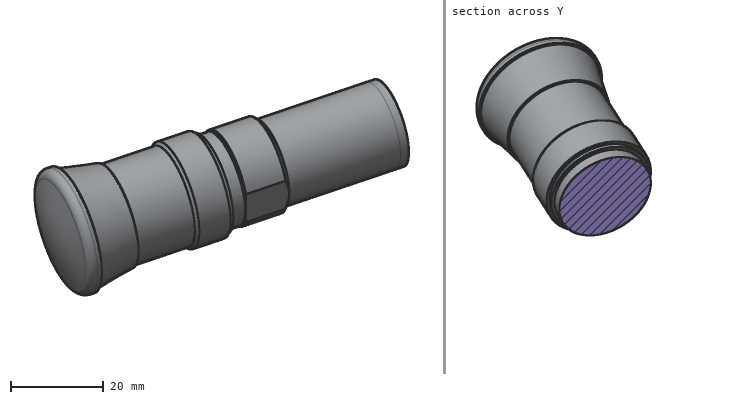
import cadquery as cq
import math

REAR_BAND_END = 2.0
KEY_END = 10.0
TUBE_END = 28.8
COLLAR_CHAMFER = 1.0
COLLAR_END = 39.3
GROOVE_END = 39.8
NECK_END = 43.0
STEP_END = 44.0
RING_END = 52.25
RING_CHAMFER = 0.75
GRIP_END = 66.0
FLARE_END = 76.0
RIM_END = 77.0
TOTAL_LENGTH = 81.0

TUBE_RADIUS = 10.0
COLLAR_RADIUS = 11.1
NECK_RADIUS = 10.85
GRIP_RADIUS = 11.6
RING_RADIUS = 12.3
FLARE_START_RADIUS = 12.05
FLARE_END_RADIUS = 14.0
RIM_RADIUS = 14.5
RIM_ROUNDING = 2.0
FLARE_HOLLOW = 0.1

FLAT_HALF_WIDTH = 10.25
KEY_WIDTH = 2.2
KEY_DEPTH = 2.0

REAR_Y = TOTAL_LENGTH / 2


def station(radius, distance):
    """Profile point at a radius and a distance forward of the rear face."""
    return (radius, REAR_Y - distance)


def revolved_body():
    """Turned body: tube, collar, ring, grip and the flared, domed button."""
    dome_edge_radius = RIM_RADIUS - RIM_ROUNDING
    dome_edge = RIM_END + RIM_ROUNDING
    dome_height = TOTAL_LENGTH - dome_edge
    dome_radius = (dome_edge_radius**2 + dome_height**2) / (2 * dome_height)
    half_edge_radius = dome_edge_radius / 2
    dome_middle = TOTAL_LENGTH - dome_radius + math.sqrt(dome_radius**2 - half_edge_radius**2)
    diagonal = RIM_ROUNDING * math.sqrt(0.5)
    flare_middle_radius = (FLARE_START_RADIUS + FLARE_END_RADIUS) / 2 - FLARE_HOLLOW
    flare_middle = (GRIP_END + FLARE_END) / 2

    profile = (
        cq.Workplane("XY")
        .moveTo(*station(0, 0))
        .lineTo(*station(TUBE_RADIUS, 0))
        .lineTo(*station(TUBE_RADIUS, TUBE_END))
        .lineTo(*station(COLLAR_RADIUS - COLLAR_CHAMFER, TUBE_END))
        .lineTo(*station(COLLAR_RADIUS, TUBE_END + COLLAR_CHAMFER))
        .lineTo(*station(COLLAR_RADIUS, COLLAR_END))
        .lineTo(*station(TUBE_RADIUS, COLLAR_END))
        .lineTo(*station(TUBE_RADIUS, GROOVE_END))
        .lineTo(*station(NECK_RADIUS, GROOVE_END))
        .lineTo(*station(NECK_RADIUS, NECK_END))
        .lineTo(*station(GRIP_RADIUS, NECK_END))
        .lineTo(*station(GRIP_RADIUS, STEP_END))
        .lineTo(*station(RING_RADIUS, STEP_END))
        .lineTo(*station(RING_RADIUS, RING_END - RING_CHAMFER))
        .lineTo(*station(GRIP_RADIUS, RING_END))
        .lineTo(*station(GRIP_RADIUS, GRIP_END))
        .lineTo(*station(FLARE_START_RADIUS, GRIP_END))
        .threePointArc(
            station(flare_middle_radius, flare_middle),
            station(FLARE_END_RADIUS, FLARE_END),
        )
        .lineTo(*station(RIM_RADIUS, FLARE_END))
        .lineTo(*station(RIM_RADIUS, RIM_END))
        .threePointArc(
            station(dome_edge_radius + diagonal, RIM_END + diagonal),
            station(dome_edge_radius, dome_edge),
        )
        .threePointArc(
            station(half_edge_radius, dome_middle),
            station(0, TOTAL_LENGTH),
        )
        .close()
    )
    return profile.revolve(360, (0, 0, 0), (0, 1, 0))


def collar_flat(side):
    """Stock outside one wrench flat of the collar; side is -1 or +1 along X."""
    thickness = COLLAR_RADIUS - FLAT_HALF_WIDTH
    return cq.Workplane("XY").box(
        thickness, COLLAR_END - TUBE_END, 2 * COLLAR_RADIUS
    ).translate((
        side * (FLAT_HALF_WIDTH + thickness / 2),
        REAR_Y - (TUBE_END + COLLAR_END) / 2,
        0,
    ))


def rear_plug():
    """Rear band with a key running forward from it on the -X side, flush with the tube."""
    rear_face = cq.Workplane("XZ", origin=(0, REAR_Y, 0))
    band = rear_face.circle(TUBE_RADIUS).extrude(REAR_BAND_END)
    key_blank = cq.Workplane("XY").box(KEY_DEPTH, KEY_END, KEY_WIDTH).translate(
        (-TUBE_RADIUS + KEY_DEPTH / 2, REAR_Y - KEY_END / 2, 0)
    )
    key = rear_face.circle(TUBE_RADIUS).extrude(KEY_END).intersect(key_blank)
    return band.union(key).clean()


body = revolved_body()
for side in (-1, 1):
    body = body.cut(collar_flat(side))

plug = rear_plug()
result = body.cut(plug).union(plug, clean=False)